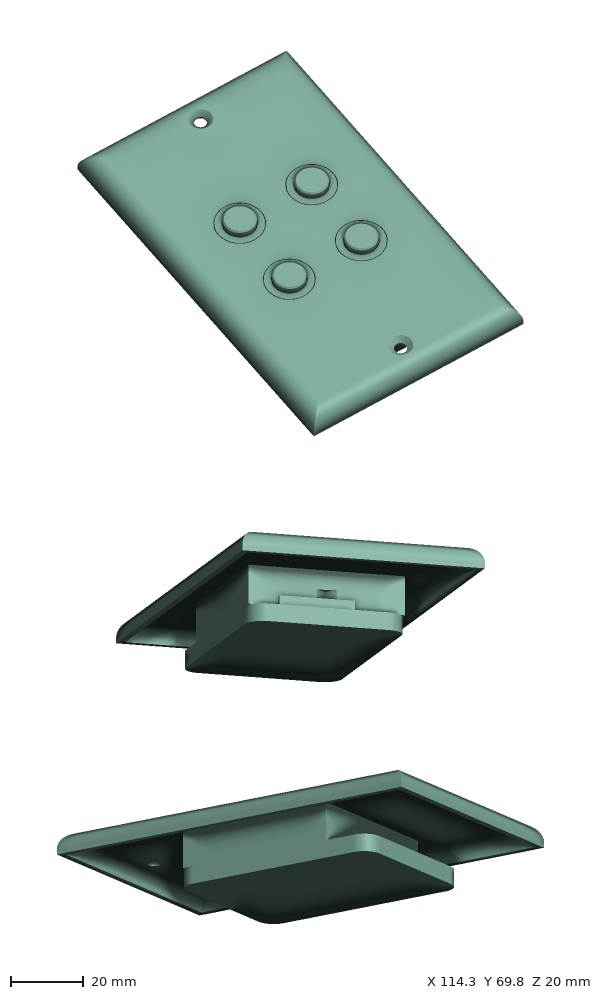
import cadquery as cq
import math

cover_height = 5.0
plate_bottom = 11.5
plate_height = 6.5
plate_top = plate_bottom + plate_height
button_top = 20.0

plate_length = 114.3
plate_width = 69.85
plate_wall = 2.0
edge_radius = 5.0
plate_inside_top = plate_top - plate_wall

screw_spacing = 96.8
screw_diameter = 3.66
countersink_diameter = 7.0
countersink_angle = 100.0

button_pitch = 24.0
button_diameter = 9.5
button_chamfer = 0.4
gap = 0.25
ring_inner_diameter = button_diameter + 2 * gap
ring_outer_diameter = 14.0
pocket_diameter = ring_outer_diameter + 2 * gap

block_length = 47.5
block_width = 45.0
block_left = -block_length / 2
notch_width = 6.0
notch_angle = 120.0
notch_depth = notch_width / 2 / math.tan(math.radians(notch_angle / 2))
notch_top = 10.5

cover_left = -25.75
cover_right = 38.0
cover_corner_radius = 5.0
tab_thickness = 1.25
tab_width = 21.75
tab_height = 2.75
tab_center_y = 3.1


def box(length, width, bottom, top):
    """Box centred on the Z axis between two heights."""
    return (
        cq.Workplane("XY")
        .workplane(offset=bottom)
        .rect(length, width)
        .extrude(top - bottom)
    )


def make_shell():
    outside = box(plate_length, plate_width, plate_bottom, plate_top)
    outside = outside.faces(">Z").edges().fillet(edge_radius)
    cavity_length = plate_length - 2 * plate_wall
    cavity_width = plate_width - 2 * plate_wall
    cavity = box(cavity_length, cavity_width, plate_bottom, plate_inside_top)
    cavity = cavity.faces(">Z").edges().fillet(edge_radius - plate_wall)
    return outside.cut(cavity)


def make_block():
    block = box(block_length, block_width, cover_height, plate_inside_top)
    notch = (
        cq.Workplane("XY", origin=(block_left, 0, cover_height))
        .moveTo(0, -notch_width / 2)
        .lineTo(notch_depth, 0)
        .lineTo(0, notch_width / 2)
        .close()
        .extrude(notch_top - cover_height)
    )
    return block.cut(notch)


def make_panel():
    """Face plate and the block behind it, as one solid."""
    top_plane = cq.Workplane("XY").workplane(offset=plate_top)
    pockets = (
        top_plane
        .rarray(button_pitch, button_pitch, 2, 2)
        .circle(pocket_diameter / 2)
        .extrude(-plate_wall)
    )
    return (
        make_shell()
        .union(make_block())
        .cut(pockets)
        .copyWorkplane(top_plane)
        .rarray(screw_spacing, 1, 2, 1)
        .cskHole(screw_diameter, countersink_diameter, countersink_angle)
    )


def make_cover():
    base = (
        box(cover_right - cover_left, block_width, 0, cover_height)
        .edges("|Z")
        .fillet(cover_corner_radius)
        .translate(((cover_left + cover_right) / 2, 0, 0))
    )
    tab = (
        box(tab_thickness, tab_width, cover_height, cover_height + tab_height)
        .translate((block_left - tab_thickness / 2, tab_center_y, 0))
    )
    return base.union(tab)


def make_ring(x, y):
    return (
        cq.Workplane("XY", origin=(x, y, plate_inside_top))
        .circle(ring_outer_diameter / 2)
        .circle(ring_inner_diameter / 2)
        .extrude(plate_wall)
    )


def make_button(x, y):
    return (
        cq.Workplane("XY", origin=(x, y, plate_inside_top))
        .circle(button_diameter / 2)
        .extrude(button_top - plate_inside_top)
        .faces(">Z")
        .chamfer(button_chamfer)
    )


panel = make_panel()
cover = make_cover()
bodies = [panel.solids().val(), cover.solids().val()]
for x in (-button_pitch / 2, button_pitch / 2):
    for y in (-button_pitch / 2, button_pitch / 2):
        ring = make_ring(x, y)
        button = make_button(x, y)
        bodies += [ring.val(), button.val()]

result = cq.Compound.makeCompound(bodies)